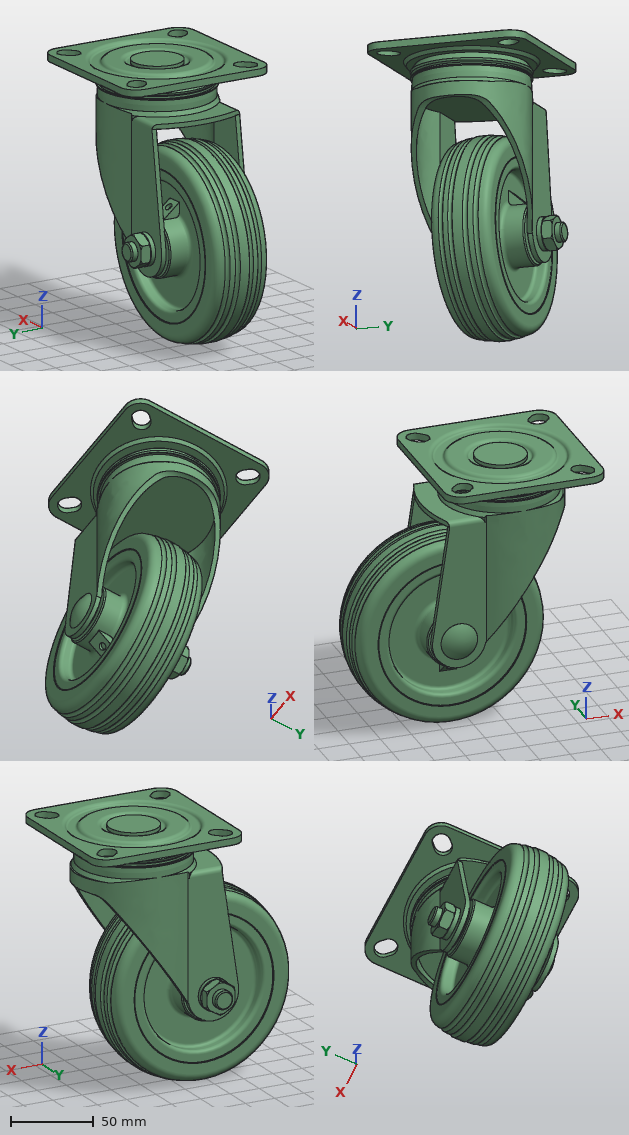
import cadquery as cq
import math


total_height = 167.9
wheel_radius = 62.5
wheel_half_width = 19.1
axle_offset = 38.0

plate_side = 102.0
plate_thickness = 4.5
plate_corner_radius = 10.9
slot_width = 11.0
slot_travel = 3.5
slot_position = 38.8
press_depth = 2.4
ring_outer_radius = 43.6
ring_inner_radius = 31.4
pocket_radius = 22.3
press_edge_run = 2.7
press_foot_run = 1.5
kingpin_radius = 16.3
boss_top_radius = 41.3
boss_bottom_radius = 39.6
collar_top_radius = 34.4
collar_rim_radius = 37.3
collar_rim_z = 157.0
collar_edge_radius = 36.8
collar_edge_z = 155.6
collar_waist_radius = 35.6
collar_waist_z = 154.6
seal_radius = 37.1
seal_top_z = 153.3
collar_bottom_z = 152.6

sheet = 3.2
leg_outer_y = 31.2
hub_plate_radius = 17.3
crown_top_z = 142.4
crown_front_x = -51.0
leg_front_x = -44.2
skirt_center_x = -0.3
skirt_half_length = 39.6
skirt_half_width = 36.3
skirt_rear_bottom_z = 133.6
skirt_corner_x = 33.2
skirt_corner_fillet = 10.0
slope_foot_x = -21.8
slope_foot_z = 57.8
crown_bend_radius = 3.4
skirt_bend_radius = 5.0
neck_top_radius = 36.0
neck_radius = 36.3
neck_taper_z = 148.9
neck_flare_radius = 38.0
neck_flare_top_z = 145.2

center_rib_half_width = 3.4
middle_rib_inner = (61.8, 6.4)
middle_rib_outer = (61.5, 9.9)
outer_rib_inner = (60.6, 13.0)
outer_rib_outer = (60.0, 15.5)
inner_groove_bottom = (60.8, 4.9)
outer_groove_bottom = (59.8, 11.4)
shoulder_radius = 54.9
tyre_seat_radius = 47.3
tyre_seat_chamfer = 0.5

rim_lip_radius = 42.5
rim_wall_radius = 40.1
disc_radius = 38.0
disc_half_thickness = 11.2
hub_radius = 19.0
hub_fillet = 2.9
hub_half_length = 26.5
hub_chamfer = 0.8
bearing_radius = 13.5
bearing_half_length = 27.0
nipple_width = 10.7
nipple_outer_radius = 27.7
nipple_end_y = 21.7
nipple_hole_radius = 2.4
nipple_hole_position = 24.2
nipple_hole_depth = 2.5

spacer_radius = 8.7
bolt_radius = 6.0
bolt_end_y = 45.5
bolt_chamfer = 0.8
head_radius = 11.8
head_tip_y = 35.1
washer_radius = 10.4
washer_end_y = 34.2
nut_end_y = 41.1
nut_corner_diameter = 22.0
nut_chamfer = 1.0

plate_bottom_z = total_height - plate_thickness
press_floor_z = total_height - press_depth
boss_bottom_z = plate_bottom_z - press_depth
leg_inner_y = leg_outer_y - sheet
crown_bottom_z = crown_top_z - sheet


def spin(outline):
    """Revolve a closed (radius, Z) outline about the swivel axis."""
    return outline.close().revolve(360, (0, 0, 0), (0, 1, 0))


def spin_on_axle(outline):
    """Revolve a closed (radius, Y) outline about Y and move it onto the wheel axis."""
    return outline.close().revolve(360, (0, 0, 0), (0, 1, 0)).translate((-axle_offset, 0, wheel_radius))


def tangent_radius(run, rise):
    """Radius of an arc that leaves a flat face tangentially and spans run by rise."""
    return (run**2 + rise**2) / (2 * rise)


def cylinder_on_axle(radius, start_y, end_y):
    plane = cq.Plane((-axle_offset, start_y, wheel_radius), (1, 0, 0), (0, 1, 0))
    return cq.Workplane(plane).circle(radius).extrude(end_y - start_y)


def add_pressed_wall(outline, radius, inward):
    """From the top face at a radius down to the pressed floor: a rounded edge, then a rounded foot."""
    wall_run = press_edge_run + press_foot_run
    edge_drop = press_depth * press_edge_run / wall_run
    edge_radius = inward * tangent_radius(press_edge_run, edge_drop)
    foot_radius = inward * tangent_radius(press_foot_run, press_depth - edge_drop)
    edge_end = (radius - inward * press_edge_run, total_height - edge_drop)
    foot_end = (radius - inward * wall_run, press_floor_z)
    return outline.lineTo(radius, total_height).radiusArc(edge_end, -edge_radius).radiusArc(foot_end, foot_radius)


def make_pressed_ring():
    """Ring channel cut from the top face, with its two rounded walls."""
    disc = spin(
        add_pressed_wall(
            cq.Workplane("XZ").moveTo(0, press_floor_z).lineTo(0, total_height), ring_outer_radius, 1
        )
    )
    island = spin(
        add_pressed_wall(
            cq.Workplane("XZ").moveTo(0, press_floor_z).lineTo(0, total_height), ring_inner_radius, -1
        )
    )
    return disc.cut(island)


def make_pocket():
    """Round pocket that leaves the end of the kingpin standing in its middle."""
    return spin(
        add_pressed_wall(
            cq.Workplane("XZ").moveTo(kingpin_radius, press_floor_z).lineTo(kingpin_radius, total_height),
            pocket_radius,
            1,
        )
    )


def make_collar():
    return spin(
        cq.Workplane("XZ").polyline(
            [
                (0, plate_bottom_z),
                (boss_top_radius, plate_bottom_z),
                (boss_bottom_radius, boss_bottom_z),
                (collar_top_radius, boss_bottom_z),
                (collar_rim_radius, collar_rim_z),
                (collar_edge_radius, collar_edge_z),
                (collar_waist_radius, collar_waist_z),
                (collar_waist_radius, seal_top_z),
                (seal_radius, seal_top_z),
                (seal_radius, collar_bottom_z),
                (0, collar_bottom_z),
            ]
        )
    )


def make_top_plate():
    plate = (
        cq.Workplane("XY", origin=(0, 0, plate_bottom_z))
        .rect(plate_side, plate_side)
        .extrude(plate_thickness)
        .edges("|Z")
        .fillet(plate_corner_radius)
    )
    for side_x in (-1, 1):
        for side_y in (-1, 1):
            slot = (
                cq.Workplane("XY", origin=(0, 0, plate_bottom_z))
                .center(side_x * slot_position, side_y * slot_position)
                .slot2D(slot_width + slot_travel, slot_width, 45 * side_x * side_y)
                .extrude(plate_thickness)
            )
            plate = plate.cut(slot)
    return plate.union(make_collar()).cut(make_pressed_ring()).cut(make_pocket())


def bend_x(inset):
    """X where the straight leg face meets the skirt ellipse."""
    half_width_ratio = (leg_outer_y - inset) / (skirt_half_width - inset)
    return skirt_center_x - (skirt_half_length - inset) * math.sqrt(1 - half_width_ratio**2)


def plan_prism(inset, top_z):
    """Skirt ellipse joined to the straight legs, inset from the outer faces, from Z = 0 up."""
    skirt = (
        cq.Workplane("XY")
        .center(skirt_center_x, 0)
        .ellipse(skirt_half_length - inset, skirt_half_width - inset)
        .extrude(top_z)
    )
    legs_length = 2 * axle_offset
    legs = cq.Workplane("XY").box(
        legs_length, 2 * (leg_outer_y - inset), top_z, centered=(False, True, False)
    )
    prism = skirt.union(legs.translate((-legs_length, 0, 0)))
    for side in (-1, 1):
        corner = cq.NearestToPointSelector((bend_x(inset), side * (leg_outer_y - inset), top_z / 2))
        prism = prism.edges("|Z").edges(corner).fillet(skirt_bend_radius + inset)
    return prism


def make_side_profile():
    """Side outline of the fork: crown, tapering leg, round end and sloping rear edge."""
    run = leg_front_x + axle_offset
    rise = crown_bottom_z - wheel_radius
    tangent_angle = math.atan2(rise, run) + math.acos(hub_plate_radius / math.hypot(run, rise))
    tangent_point = (
        -axle_offset + hub_plate_radius * math.cos(tangent_angle),
        wheel_radius + hub_plate_radius * math.sin(tangent_angle),
    )
    rear_x = skirt_center_x + skirt_half_length
    outline = [
        (crown_front_x, crown_top_z),
        (crown_front_x, crown_bottom_z),
        (leg_front_x, crown_bottom_z),
        tangent_point,
        (-axle_offset, wheel_radius),
        (slope_foot_x, slope_foot_z),
        (skirt_corner_x, skirt_rear_bottom_z),
        (rear_x, skirt_rear_bottom_z),
        (rear_x, crown_top_z),
    ]
    upper = cq.Workplane("XZ").polyline(outline).close().extrude(skirt_half_width, both=True)
    corner = cq.NearestToPointSelector((skirt_corner_x, 0, skirt_rear_bottom_z))
    upper = upper.edges("|Y").edges(corner).fillet(skirt_corner_fillet)
    return upper.union(cylinder_on_axle(hub_plate_radius, -skirt_half_width, skirt_half_width))


def make_crown_front():
    """Vertical cylinder that bounds the bowed front edge of the crown."""
    bow_radius = tangent_radius(leg_outer_y, leg_front_x - crown_front_x)
    return cq.Workplane("XY").center(crown_front_x + bow_radius, 0).circle(bow_radius).extrude(crown_top_z)


def make_neck():
    neck = spin(
        cq.Workplane("XZ").polyline(
            [
                (0, crown_bottom_z),
                (neck_flare_radius, crown_bottom_z),
                (neck_flare_radius, crown_top_z),
                (neck_radius, neck_flare_top_z),
                (neck_radius, neck_taper_z),
                (neck_top_radius, collar_bottom_z),
                (0, collar_bottom_z),
            ]
        )
    )
    return neck.intersect(plan_prism(0, collar_bottom_z))


def make_crown_bends():
    """Space within the rounded bends from crown to legs, open at full width beside the skirt."""
    length = 2 * plate_side
    legs = cq.Workplane("XY").box(length, 2 * leg_outer_y, crown_top_z, centered=(True, True, False))
    legs = legs.edges("|X and >Z").fillet(crown_bend_radius)
    skirt = cq.Workplane("XY").box(length, length, crown_top_z, centered=(False, True, False))
    return legs.union(skirt.translate((bend_x(0), 0, 0)))


def make_fork():
    shell = plan_prism(0, crown_top_z).intersect(make_crown_bends())
    shell = shell.cut(plan_prism(sheet, crown_bottom_z))
    fork = shell.intersect(make_side_profile())
    upper_part = cq.Workplane("XY").box(
        2 * plate_side, 2 * plate_side, sheet, centered=(True, True, False)
    ).translate((0, 0, crown_bottom_z))
    fork = fork.cut(upper_part.cut(make_crown_front()))
    fork = fork.union(make_neck())
    return fork.cut(cylinder_on_axle(bolt_radius, -leg_outer_y, leg_outer_y))


def other_side(point):
    """Mirror a (radius, Y) point in the middle plane of the wheel."""
    radius, y = point
    return (radius, -y)


def make_tyre():
    """Tread with a centre rib, two ribs and two round grooves on each side, and rounded shoulders."""
    shoulder_arc = tangent_radius(outer_rib_outer[0] - shoulder_radius, wheel_half_width - outer_rib_outer[1])
    center_rib = (wheel_radius, center_rib_half_width)
    shoulder_end = (shoulder_radius, wheel_half_width)
    chamfer_outer = (tyre_seat_radius + tyre_seat_chamfer, wheel_half_width)
    chamfer_inner = (tyre_seat_radius, wheel_half_width - tyre_seat_chamfer)
    return spin_on_axle(
        cq.Workplane("XY")
        .moveTo(*other_side(chamfer_inner))
        .lineTo(*other_side(chamfer_outer))
        .lineTo(*other_side(shoulder_end))
        .radiusArc(other_side(outer_rib_outer), -shoulder_arc)
        .lineTo(*other_side(outer_rib_inner))
        .threePointArc(other_side(outer_groove_bottom), other_side(middle_rib_outer))
        .lineTo(*other_side(middle_rib_inner))
        .threePointArc(other_side(inner_groove_bottom), other_side(center_rib))
        .lineTo(*center_rib)
        .threePointArc(inner_groove_bottom, middle_rib_inner)
        .lineTo(*middle_rib_outer)
        .threePointArc(outer_groove_bottom, outer_rib_inner)
        .lineTo(*outer_rib_outer)
        .radiusArc(shoulder_end, -shoulder_arc)
        .lineTo(*chamfer_outer)
        .lineTo(*chamfer_inner)
    )


def make_nipple_boss():
    """Sloping grease nipple boss under the -Y side of the hub, with its round hole."""
    hub_surface_z = wheel_radius - hub_radius
    boss = (
        cq.Workplane("YZ", origin=(-axle_offset, 0, 0))
        .polyline(
            [
                (-disc_half_thickness, hub_surface_z + hub_fillet),
                (-nipple_end_y, hub_surface_z + hub_fillet),
                (-nipple_end_y, hub_surface_z),
                (-disc_half_thickness, wheel_radius - nipple_outer_radius),
            ]
        )
        .close()
        .extrude(nipple_width / 2, both=True)
    )
    slope_run = nipple_end_y - disc_half_thickness
    slope_rise = nipple_outer_radius - hub_radius
    below_hub = nipple_hole_position - hub_radius
    hole_y = -nipple_end_y + below_hub * slope_run / slope_rise
    outward = (0, -slope_rise, -slope_run)
    plane = cq.Plane((-axle_offset, hole_y, wheel_radius - nipple_hole_position), (1, 0, 0), outward)
    hole = cq.Workplane(plane).circle(nipple_hole_radius).extrude(-nipple_hole_depth)
    return boss.cut(hole)


def make_rim():
    lip_round = rim_lip_radius - rim_wall_radius
    disc_round = rim_wall_radius - disc_radius
    half_rim = spin_on_axle(
        cq.Workplane("XY")
        .moveTo(spacer_radius, 0)
        .lineTo(tyre_seat_radius, 0)
        .lineTo(tyre_seat_radius, wheel_half_width)
        .lineTo(rim_lip_radius, wheel_half_width)
        .radiusArc((rim_wall_radius, wheel_half_width - lip_round), -lip_round)
        .lineTo(rim_wall_radius, disc_half_thickness + disc_round)
        .radiusArc((disc_radius, disc_half_thickness), disc_round)
        .lineTo(hub_radius + hub_fillet, disc_half_thickness)
        .radiusArc((hub_radius, disc_half_thickness + hub_fillet), hub_fillet)
        .lineTo(hub_radius, hub_half_length - hub_chamfer)
        .lineTo(hub_radius - hub_chamfer, hub_half_length)
        .lineTo(bearing_radius, hub_half_length)
        .lineTo(bearing_radius, bearing_half_length)
        .lineTo(spacer_radius, bearing_half_length)
    )
    rim = half_rim.union(half_rim.mirror("XZ"))
    boss = make_nipple_boss()
    axis_start = (-axle_offset, 0, wheel_radius)
    axis_end = (-axle_offset + 1.7, 0, wheel_radius)
    for turn in (0, 180):
        rim = rim.union(boss.rotate(axis_start, axis_end, turn))
    return rim


def make_nut():
    """Hexagon with two corners on the vertical and its corners turned down at both ends."""
    plane = cq.Plane((-axle_offset, washer_end_y, wheel_radius), (0, 0, 1), (0, 1, 0))
    thickness = nut_end_y - washer_end_y
    hexagon = cq.Workplane(plane).polygon(6, nut_corner_diameter).extrude(thickness)
    turned = cylinder_on_axle(nut_corner_diameter / 2, washer_end_y, nut_end_y).edges().chamfer(nut_chamfer)
    return hexagon.intersect(turned)


def make_axle():
    head_height = head_tip_y - leg_outer_y
    dome_radius = tangent_radius(head_radius, head_height)
    head = spin_on_axle(
        cq.Workplane("XY")
        .moveTo(0, -leg_outer_y)
        .lineTo(head_radius, -leg_outer_y)
        .radiusArc((0, -head_tip_y), dome_radius)
    )
    bolt = cylinder_on_axle(bolt_radius, -leg_outer_y, bolt_end_y).faces(">Y").chamfer(bolt_chamfer)
    spacer = cylinder_on_axle(spacer_radius, -leg_inner_y, leg_inner_y)
    washer = cylinder_on_axle(washer_radius, leg_outer_y, washer_end_y)
    return bolt.union(head).union(spacer).union(washer).union(make_nut())


top_plate = make_top_plate()
fork = make_fork()
tyre = make_tyre()
rim = make_rim()
axle = make_axle()

result = cq.Compound.makeCompound(
    [body.solids().val() for body in (top_plate, fork, tyre, rim, axle)]
)